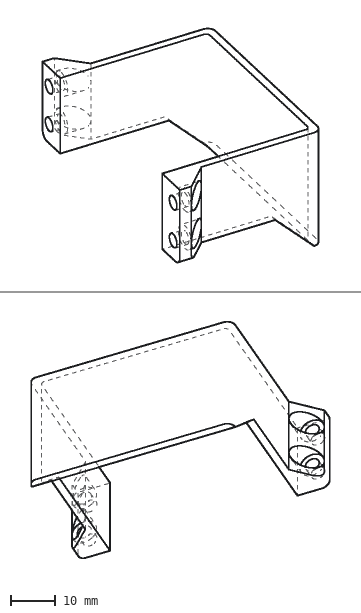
import cadquery as cq

wall = 2.0
width = 50.0
depth = 40.0
height = 30.0
arm_height = 20.0
outer_radius = 2.0
inner_radius = 1.0

ear_reach = 6.0
ear_thickness = 3.0
ear_corner_radius = 2.0

hole_diameter = 3.4
head_diameter = 6.0
hole_edge_distance = 3.0
seat_offset = 0.01
hole_depths_below_top = (5.0, 15.0)

half_width = width / 2
ear_edge = half_width + ear_reach
arm_bottom = height - arm_height
ramp_end = ear_thickness + ear_reach


def make_channel():
    """Full-height U with rounded rear corners."""
    outside = (
        cq.Workplane("XY")
        .rect(width, 2 * depth)
        .extrude(height)
        .edges("|Z and >Y")
        .fillet(outer_radius)
    )
    inside = (
        cq.Workplane("XY")
        .rect(width - 2 * wall, 2 * (depth - wall))
        .extrude(height)
        .edges("|Z and >Y")
        .fillet(inner_radius)
    )
    envelope = cq.Workplane("XY").box(width, depth, height, centered=(True, False, False))
    return outside.cut(inside).intersect(envelope)


def make_underside_cut():
    """Clearance below the arms, sloping at 45 degrees down to the rear wall."""
    slope_foot = depth - wall
    slope_top = slope_foot - arm_bottom
    return (
        cq.Workplane("YZ")
        .moveTo(0, 0)
        .lineTo(slope_foot, 0)
        .lineTo(slope_top, arm_bottom)
        .lineTo(0, arm_bottom)
        .close()
        .extrude(half_width, both=True)
    )


def make_ear(side):
    """Ramped ear on the arm at side = -1 or +1, with its lower outer corner rounded."""
    arm_inside = half_width - wall
    ear = (
        cq.Workplane("XY")
        .workplane(offset=arm_bottom)
        .moveTo(side * arm_inside, 0)
        .lineTo(side * ear_edge, 0)
        .lineTo(side * ear_edge, ear_thickness)
        .lineTo(side * half_width, ramp_end)
        .lineTo(side * arm_inside, ramp_end)
        .close()
        .extrude(arm_height)
    )
    corner_blank = (
        cq.Workplane("XZ")
        .moveTo(side * arm_inside, arm_bottom)
        .lineTo(side * ear_edge, arm_bottom)
        .lineTo(side * ear_edge, height)
        .lineTo(side * arm_inside, height)
        .close()
        .extrude(-ramp_end)
        .edges("|Y and <Z")
        .edges(">X" if side > 0 else "<X")
        .fillet(ear_corner_radius)
    )
    return ear.intersect(corner_blank)


def make_screw_cuts():
    """Through holes along Y, each with a head recess sunk through the ramp."""
    hole_x = ear_edge - hole_edge_distance
    positions = [
        (height - drop, side * hole_x)
        for side in (-1, 1)
        for drop in hole_depths_below_top
    ]
    holes = (
        cq.Workplane("ZX")
        .pushPoints(positions)
        .circle(hole_diameter / 2)
        .extrude(ramp_end)
    )
    recesses = (
        cq.Workplane("ZX", origin=(0, ear_thickness + seat_offset, 0))
        .pushPoints(positions)
        .circle(head_diameter / 2)
        .extrude(ear_reach)
    )
    return holes.union(recesses)


bracket = make_channel().cut(make_underside_cut())
for ear_side in (-1, 1):
    bracket = bracket.union(make_ear(ear_side))

result = bracket.cut(make_screw_cuts())